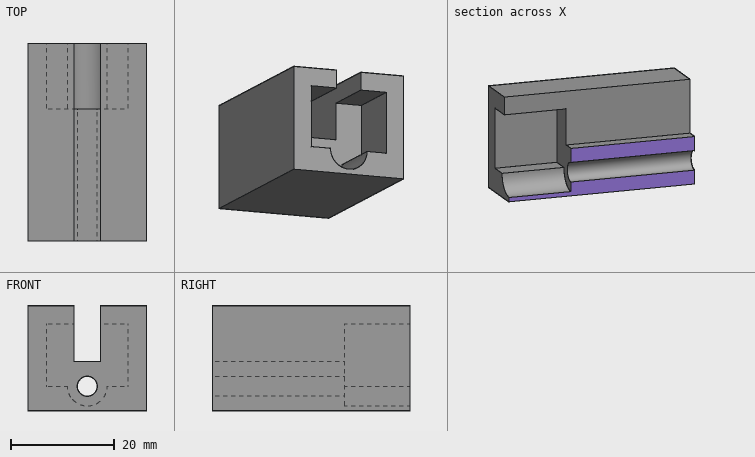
import cadquery as cq

width = 22.85
length = 38.1
height = 20.3

channel_width = 5.03
channel_depth = 10.75

recess_depth = 12.7
recess_width = 15.62
recess_top = 16.75

hole_diameter = 3.8
bore_diameter = 7.62
hole_height = 4.75


def cylinder_from_back(diameter, depth):
    """Cylinder on the hole axis, entering the rear face."""
    rear_plane = cq.Workplane("XZ", origin=(0, length / 2, hole_height))
    return rear_plane.circle(diameter / 2).extrude(depth)


block = cq.Workplane("XY").box(width, length, height, centered=(True, True, False))

channel = (
    cq.Workplane("XY", origin=(0, 0, height - channel_depth))
    .box(channel_width, length, channel_depth, centered=(True, True, False))
)

pocket = (
    cq.Workplane("XY", origin=(0, length / 2 - recess_depth / 2, hole_height))
    .box(recess_width, recess_depth, recess_top - hole_height, centered=(True, True, False))
)

hole = cylinder_from_back(hole_diameter, length)
bore = cylinder_from_back(bore_diameter, recess_depth)

result = block.cut(channel).cut(pocket).cut(hole).cut(bore)